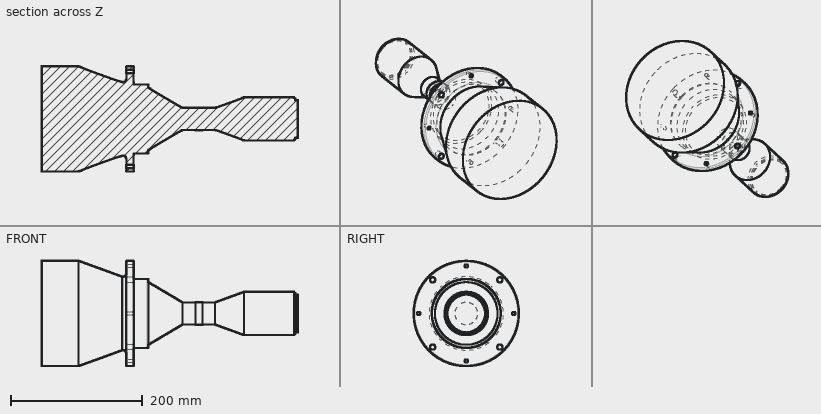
import cadquery as cq

front_drum_end = 56.0
front_cone_end = 122.0
flange_front = 128.0
flange_back = 140.0
collar_end = 162.0
rear_cone_end = 213.5
neck_end = 263.0
barrel_start = 307.0
barrel_end = 384.5
rim_start = 385.5
overall_length = 388.5

drum_radius = 80.0
front_neck_radius = 56.0
flange_radius = 80.0
collar_radius = 52.5
rear_cone_radius = 47.5
neck_radius = 17.0
barrel_radius = 33.0
rim_radius = 29.0
rim_groove_radius = 28.5

flange_edge_fillet = 2.0
flange_root_fillet = 4.0
barrel_chamfer = 2.3

collar_bevel_length = 2.5
collar_bevel_depth = 0.5

neck_band_start = 233.5
neck_band_end = 244.0
neck_band_height = 0.3

pitch_radius = 72.0
holes_per_size = 4
large_hole_diameter = 8.0
small_hole_diameter = 5.0
large_hole_angle = 45.0
small_hole_angle = 0.0


def turned_body():
    """Solid of revolution about the X axis."""
    profile = (
        cq.Workplane("XZ")
        .moveTo(0, 0)
        .lineTo(0, drum_radius)
        .lineTo(front_drum_end, drum_radius)
        .lineTo(front_cone_end, front_neck_radius)
        .lineTo(flange_front - flange_root_fillet, front_neck_radius)
        .radiusArc((flange_front, front_neck_radius + flange_root_fillet), -flange_root_fillet)
        .lineTo(flange_front, flange_radius - flange_edge_fillet)
        .radiusArc((flange_front + flange_edge_fillet, flange_radius), flange_edge_fillet)
        .lineTo(flange_back - flange_edge_fillet, flange_radius)
        .radiusArc((flange_back, flange_radius - flange_edge_fillet), flange_edge_fillet)
        .lineTo(flange_back, collar_radius)
        .lineTo(collar_end - collar_bevel_length, collar_radius)
        .lineTo(collar_end, collar_radius - collar_bevel_depth)
        .lineTo(collar_end, rear_cone_radius)
        .lineTo(rear_cone_end, neck_radius)
        .lineTo(neck_band_start, neck_radius)
        .lineTo(neck_band_start, neck_radius + neck_band_height)
        .lineTo(neck_band_end, neck_radius + neck_band_height)
        .lineTo(neck_band_end, neck_radius)
        .lineTo(neck_end, neck_radius)
        .lineTo(barrel_start, barrel_radius)
        .lineTo(barrel_end - barrel_chamfer, barrel_radius)
        .lineTo(barrel_end, barrel_radius - barrel_chamfer)
        .lineTo(barrel_end, rim_groove_radius)
        .lineTo(rim_start, rim_groove_radius)
        .lineTo(rim_start, rim_radius)
        .lineTo(overall_length, rim_radius)
        .lineTo(overall_length, 0)
        .close()
    )
    return profile.revolve(360, (0, 0, 0), (1, 0, 0))


def flange_holes(diameter, start_angle):
    """Ring of cutters passing through the flange thickness."""
    return (
        cq.Workplane("YZ", origin=(flange_front, 0, 0))
        .polarArray(pitch_radius, start_angle, 360, holes_per_size)
        .circle(diameter / 2)
        .extrude(flange_back - flange_front)
    )


result = (
    turned_body()
    .cut(flange_holes(large_hole_diameter, large_hole_angle))
    .cut(flange_holes(small_hole_diameter, small_hole_angle))
)